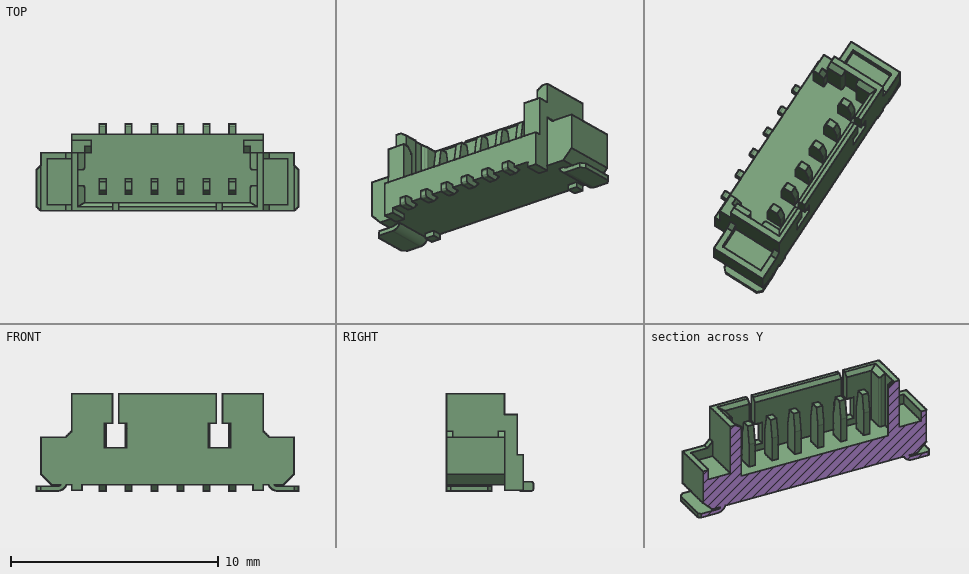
import cadquery as cq


total_length = 12.65
total_height = 4.7
total_depth = 4.2
body_bottom = 0.3
wall = 0.3

tower_length = 9.25
tower_depth = 2.81
front_wall = 0.39
base_depth = 3.71
floor_height = 1.76

wing_half_length = 6.11
wing_top = 2.6
wing_bottom_chamfer = 0.5
wing_corner_chamfer = 0.29
wing_floor = 2.07

rib = 0.32
rib_gap_start = 1.21
rib_gap_end = 1.99
rib_corner_radius = 0.1
mouth_front_lead = 0.19
mouth_chamfer_height = 0.2

column_length = 0.95
column_depth = 0.61
column_top = 3.71
column_chamfer = 0.3

latch_offset = 2.5
latch_slot_width = 0.29
latch_window_width = 1.09
latch_window_bottom = 2.1
latch_window_top = 3.26

peg_length = 0.5
peg_bottom = 0.04
front_peg_depth = 0.5

pin_count = 6
pin_pitch = 1.25
pin_width = 0.33
pin_front = 0.8
pin_back = 1.55
pin_front_lead = 0.19
pin_back_lead = 0.15
pin_lead_bottom = 3.04
pin_top = 3.97
tail_height = 0.45
tail_end_radius = 0.11
tail_heel = 3.57

foot_depth = 2.19
foot_thickness = 0.24
foot_corner_chamfer = 0.2
foot_bend_start = 5.31
foot_inner_radius = 0.23

tower_half = tower_length / 2
mouth_half = tower_half - wall
cavity_half = mouth_half - rib


def box(x0, x1, y0, y1, z0, z1):
    """Box between two opposite corners."""
    return cq.Workplane("XY").box(x1 - x0, y1 - y0, z1 - z0, centered=False).translate((x0, y0, z0))


def both_ends(shape):
    """Shape together with its mirror image at the other end of the part."""
    return shape.union(shape.mirror("YZ"))


def extrude_along_y(points, y0, y1):
    """Prism with an outline of (x, z) points."""
    return cq.Workplane("XZ", origin=(0, y0, 0)).polyline(points).close().extrude(y0 - y1)


def tower_and_base():
    """Outer block of the tower with the deeper base under it."""
    tower = box(-tower_half, tower_half, 0, tower_depth, body_bottom, total_height)
    base = box(-tower_half, tower_half, 0, base_depth, body_bottom, floor_height)
    return tower.union(base)


def cavity():
    """Open-backed mating cavity with its mouth chamfer and the gaps between the ribs."""
    space = box(-cavity_half, cavity_half, front_wall, tower_depth, floor_height, total_height)

    chamfer_bottom = total_height - mouth_chamfer_height
    slope_past_back = 2 * mouth_front_lead
    mouth_center = (front_wall + tower_depth + slope_past_back) / 2
    mouth_depth = tower_depth + slope_past_back - front_wall
    mouth = (
        cq.Workplane("XY", origin=(0, mouth_center, chamfer_bottom))
        .rect(2 * cavity_half, mouth_depth)
        .workplane(offset=mouth_chamfer_height)
        .rect(2 * mouth_half, mouth_depth + 2 * mouth_front_lead)
        .loft(ruled=True)
    )

    gap = box(-mouth_half, mouth_half, rib_gap_start, rib_gap_end, floor_height, total_height)
    return space.union(mouth).union(gap)


def rib_corners():
    """Upright rib edges that border the gaps."""
    middle = (floor_height + total_height) / 2
    return [
        cq.selectors.NearestToPointSelector((x, y, middle))
        for x in (-cavity_half, cavity_half)
        for y in (rib_gap_start, rib_gap_end)
    ]


def wing():
    """Hollow wing on the +X end, with its wall corners sloping up to the tower."""
    outline = [
        (0, body_bottom),
        (wing_half_length - wing_bottom_chamfer, body_bottom),
        (wing_half_length, body_bottom + wing_bottom_chamfer),
        (wing_half_length, wing_top),
        (tower_half + wing_corner_chamfer, wing_top),
        (tower_half, wing_top + wing_corner_chamfer),
        (tower_half, floor_height),
        (0, floor_height),
    ]
    block = extrude_along_y(outline, 0, tower_depth)
    pocket = box(tower_half, wing_half_length - wall, wall, tower_depth - wall, wing_floor, total_height)
    return block.cut(pocket)


def column():
    """Column behind the +X end wall, with a sloped lead-in on its overhanging corner."""
    inner = tower_half - column_length
    block = box(inner, tower_half, tower_depth, tower_depth + column_depth, floor_height, column_top)
    lead_in = (
        cq.Workplane("YZ", origin=(inner, 0, 0))
        .moveTo(tower_depth, column_top - column_chamfer)
        .lineTo(tower_depth + column_chamfer, column_top)
        .lineTo(tower_depth, column_top)
        .close()
        .extrude(cavity_half - inner)
    )
    return block.cut(lead_in)


def latch_opening(x):
    """Window in the front wall with a narrow slot up to the rim."""
    half_slot = latch_slot_width / 2
    half_window = latch_window_width / 2
    window = box(x - half_window, x + half_window, 0, front_wall, latch_window_bottom, latch_window_top)
    slot = box(x - half_slot, x + half_slot, 0, front_wall, latch_window_top, total_height)
    return window.union(slot)


def pegs():
    """Front and rear peg under the +X end of the tower."""
    inner = tower_half - peg_length
    front = box(inner, tower_half, 0, front_peg_depth, peg_bottom, body_bottom)
    rear = box(inner, tower_half, tower_depth, base_depth, peg_bottom, body_bottom)
    return front.union(rear)


def pin(x):
    """Upright contact with a tapered tip, and its solder tail behind the base."""
    side = cq.Workplane("YZ", origin=(x, 0, 0))
    post = (
        side.moveTo(pin_front, body_bottom)
        .lineTo(pin_front, pin_lead_bottom)
        .lineTo(pin_front + pin_front_lead, pin_top)
        .lineTo(pin_back - pin_back_lead, pin_top)
        .lineTo(pin_back, pin_lead_bottom)
        .lineTo(pin_back, body_bottom)
        .close()
        .extrude(pin_width / 2, both=True)
    )
    tail = (
        side.moveTo(tail_heel, 0)
        .lineTo(total_depth, 0)
        .lineTo(total_depth, tail_height)
        .lineTo(tail_heel - tail_height, tail_height)
        .close()
        .extrude(pin_width / 2, both=True)
        .edges("|X and >Y")
        .fillet(tail_end_radius)
    )
    return post.union(tail)


def foot():
    """Flat solder foot on the +X end, bent up into the wing."""
    outer_radius = foot_inner_radius + foot_thickness
    bend_center_z = outer_radius
    outer_x = foot_bend_start - outer_radius
    inner_x = foot_bend_start - foot_inner_radius
    profile = (
        cq.Workplane("XZ")
        .moveTo(total_length / 2, 0)
        .lineTo(foot_bend_start, 0)
        .radiusArc((outer_x, bend_center_z), outer_radius)
        .lineTo(inner_x, bend_center_z)
        .radiusArc((foot_bend_start, foot_thickness), -foot_inner_radius)
        .lineTo(total_length / 2, foot_thickness)
        .close()
    )
    return profile.extrude(-foot_depth).edges("|Z and >X").chamfer(foot_corner_chamfer)


result = tower_and_base().cut(cavity())
for rib_corner in rib_corners():
    result = result.edges("|Z").edges(rib_corner).fillet(rib_corner_radius)
result = result.union(both_ends(wing())).union(both_ends(column())).union(both_ends(pegs()))
for latch_x in (-latch_offset, latch_offset):
    result = result.cut(latch_opening(latch_x))
for index in range(pin_count):
    result = result.union(pin((index - (pin_count - 1) / 2) * pin_pitch))
result = result.union(both_ends(foot()))